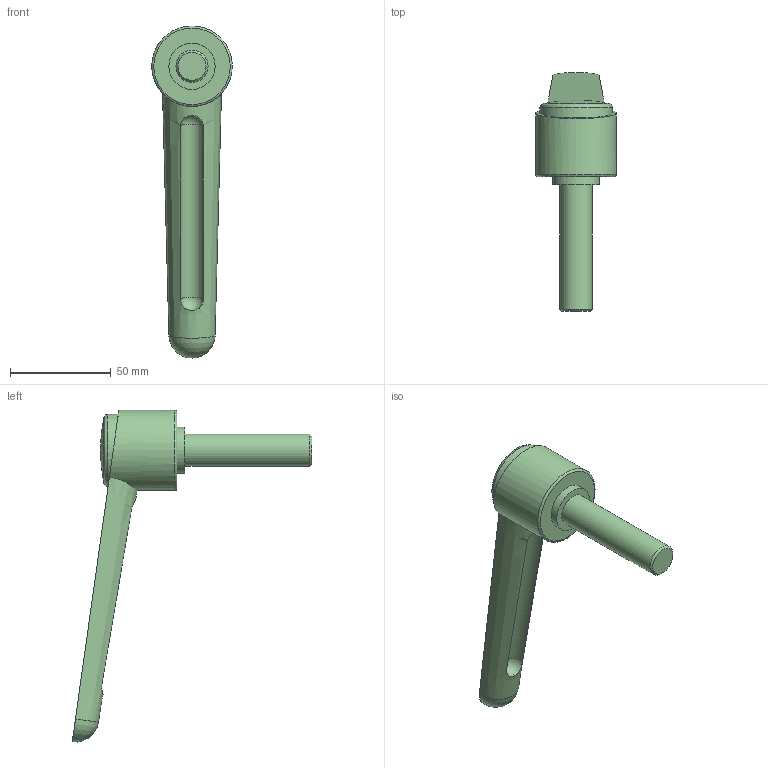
import cadquery as cq
import math


hub_radius = 20.0
hub_edge_fillet = 1.0
lean_angle = 8.0

collar_radius = 11.5
collar_length = 4.0
stud_radius = 8.0
stud_length = 63.0
stud_chamfer = 1.0

cap_radius = 18.0
cap_apex_y = 38.0
cap_dome_rise = 2.1
cap_edge_fillet = 2.0

overall_depth = 119.0
overall_height = 165.02
handle_root_radius = 15.0
handle_tip_radius = 11.5

groove_radius = 5.65
groove_start = 28.1
groove_end = 115.4

lean = math.radians(lean_angle)
tip_centre_z = hub_radius - overall_height + handle_tip_radius
handle_length = -tip_centre_z / math.cos(lean)
handle_end_y = overall_depth - collar_length - stud_length
back_face_y = (
    handle_end_y
    - (handle_length + handle_tip_radius) * math.sin(lean)
)


def rod(radius, start_y, length):
    """Cylinder on the Y axis running from start_y toward +Y."""
    return cq.Workplane("XZ", origin=(0, start_y, 0)).circle(radius).extrude(-length)


def make_hub():
    """Cylinder whose back end is cut by the leaning plane of the handle's back."""
    half_drop = hub_radius * math.tan(lean)
    slanted_block = (
        cq.Workplane("YZ")
        .moveTo(0, hub_radius)
        .lineTo(back_face_y - half_drop, hub_radius)
        .lineTo(back_face_y + half_drop, -hub_radius)
        .lineTo(0, -hub_radius)
        .close()
        .extrude(hub_radius, both=True)
    )
    cylinder = rod(hub_radius, 0, back_face_y + half_drop)
    cylinder = cylinder.faces("<Y").edges().fillet(hub_edge_fillet)
    return cylinder.intersect(slanted_block)


def make_cap():
    """Disc with a shallow domed top and a rounded rim."""
    rim_y = cap_apex_y - cap_dome_rise
    dome_radius = (cap_radius**2 + cap_dome_rise**2) / (2 * cap_dome_rise)
    half_angle = math.asin(cap_radius / dome_radius) / 2
    middle_x = dome_radius * math.sin(half_angle)
    middle_y = cap_apex_y - dome_radius * (1 - math.cos(half_angle))
    base_y = back_face_y / 2
    disc = (
        cq.Workplane("XY")
        .moveTo(0, base_y)
        .lineTo(0, cap_apex_y)
        .threePointArc((middle_x, middle_y), (cap_radius, rim_y))
        .lineTo(cap_radius, base_y)
        .close()
        .revolve(360, (0, 0, 0), (0, 1, 0))
    )
    rim = cq.selectors.NearestToPointSelector((0, rim_y, cap_radius))
    return disc.edges(rim).fillet(cap_edge_fillet)


def make_stud():
    """Collar and stud with a chamfered end."""
    collar = rod(collar_radius, -collar_length, collar_length)
    stud_end_y = -collar_length - stud_length
    stud = rod(stud_radius, stud_end_y, stud_length)
    stud = stud.faces("<Y").edges().chamfer(stud_chamfer)
    return collar.union(stud)


def handle_radius(distance):
    """Radius of the handle's cone at a distance along it from the hub axis."""
    taper = (handle_root_radius - handle_tip_radius) / handle_length
    return handle_root_radius - taper * distance


def groove_centre_depth(distance):
    """Depth from the back face at which the groove's edges lie on the cone."""
    return math.sqrt(handle_radius(distance)**2 - groove_radius**2)


def make_groove():
    """Round-bottomed groove with ball ends that follows the taper of the cone."""
    start_depth = groove_centre_depth(groove_start)
    end_depth = groove_centre_depth(groove_end)
    run_along_handle = groove_end - groove_start
    run = math.hypot(run_along_handle, start_depth - end_depth)
    slope_angle = math.degrees(math.atan2(start_depth - end_depth, run_along_handle))
    arc_offset = groove_radius * math.sqrt(0.5)
    capsule = (
        cq.Workplane("YZ")
        .moveTo(0, groove_radius)
        .threePointArc((arc_offset, arc_offset), (groove_radius, 0))
        .lineTo(groove_radius, -run)
        .threePointArc((arc_offset, -run - arc_offset), (0, -run - groove_radius))
        .close()
        .revolve(360, (0, 0, 0), (0, 1, 0))
    )
    sloped = capsule.rotate((0, 0, 0), (1, 0, 0), slope_angle)
    return sloped.translate((0, -start_depth, -groove_start))


def make_handle():
    """Half cone with a ball end, built upright along -Z and then leaned back."""
    arc_offset = handle_tip_radius * math.sqrt(0.5)
    half_cone = (
        cq.Workplane("XZ")
        .moveTo(0, 0)
        .lineTo(handle_root_radius, 0)
        .lineTo(handle_tip_radius, -handle_length)
        .threePointArc(
            (arc_offset, -handle_length - arc_offset),
            (0, -handle_length - handle_tip_radius),
        )
        .close()
        .revolve(180, (0, 0, 0), (0, -1, 0))
    )
    upright = half_cone.cut(make_groove())
    return upright.rotate((0, 0, 0), (1, 0, 0), lean_angle).translate((0, back_face_y, 0))


result = make_hub().union(make_cap()).union(make_stud()).union(make_handle())